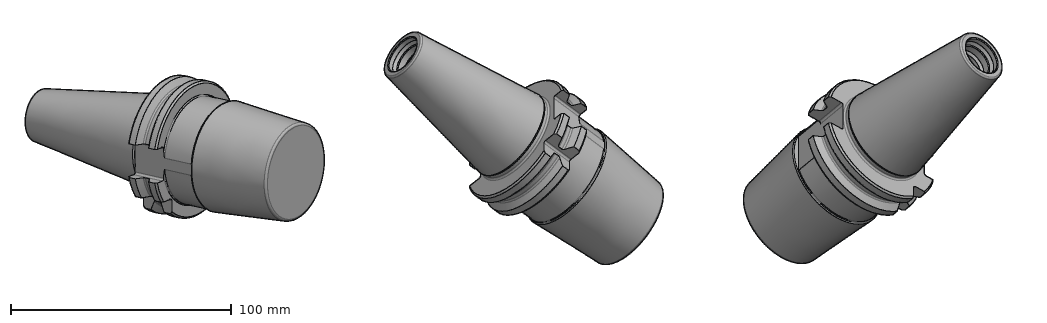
import cadquery as cq
import math


total_length = 143.2
taper_end = 67.9
flange_start = 71.3
flange_width = 16.0
flange_end = flange_start + flange_width
collar_start = 103.3

taper_ratio = 7 / 24
taper_large_radius = 22.2
taper_small_radius = taper_large_radius - taper_end * taper_ratio / 2
taper_tip_fillet = 0.9
neck_radius = 21.8
lip_length = 0.9
neck_fillet = 0.9

flange_diameter = 63.5
flange_radius = flange_diameter / 2
flange_chamfer = 0.9
groove_top_width = 7.5
groove_floor_radius = 28.0
groove_wall_angle = 30.0
groove_fillet = 1.0

body_radius = 25.0
body_fillet = 0.6
collar_fillet = 0.7
collar_radius = 25.8
nose_end_radius = 22.8
nose_edge_fillet = 1.1

slot_width = 16.0
shallow_slot_floor = 24.9
deep_slot_floor = 22.8
notch_side = 18.6
notch_ceiling = 18.3
corner_fillet = 1.0

mouth_radius = 9.6
recess_radius = 9.2
recess_depth = 2.7
seat_radius = 8.3
seat_depth = 4.5
thread_radius = 7.9
thread_depth = 8.2
core_radius = 6.7
core_depth = 31.5
drill_half_angle = 59.0


def revolve_about_x(profile):
    return profile.close().revolve(360, (0, 0, 0), (1, 0, 0))


def make_body():
    """Outer shape of the holder, without the groove, slots and bore."""
    diagonal = math.sqrt(0.5)
    half_turn = math.radians(45 / 2)
    fillet_start = collar_start - collar_fillet * diagonal
    fillet_rise = collar_fillet * (1 - diagonal)
    fillet_middle = (
        fillet_start + collar_fillet * math.sin(half_turn),
        body_radius + collar_fillet * (1 - math.cos(half_turn)),
    )
    collar_cone_length = collar_radius - body_radius - fillet_rise

    profile = (
        cq.Workplane("XY")
        .lineTo(0, taper_small_radius)
        .lineTo(taper_end, taper_large_radius)
        .lineTo(taper_end + lip_length, neck_radius)
        .lineTo(flange_start - neck_fillet, neck_radius)
        .radiusArc((flange_start, neck_radius + neck_fillet), -neck_fillet)
        .lineTo(flange_start, flange_radius - flange_chamfer)
        .lineTo(flange_start + flange_chamfer, flange_radius)
        .lineTo(flange_end - flange_chamfer, flange_radius)
        .lineTo(flange_end, flange_radius - flange_chamfer)
        .lineTo(flange_end, body_radius + body_fillet)
        .radiusArc((flange_end + body_fillet, body_radius), -body_fillet)
        .lineTo(fillet_start, body_radius)
        .threePointArc(fillet_middle, (collar_start, body_radius + fillet_rise))
        .lineTo(collar_start + collar_cone_length, collar_radius)
        .lineTo(total_length, nose_end_radius)
        .lineTo(total_length, 0)
    )
    body = revolve_about_x(profile)
    body = body.faces("<X").edges().fillet(taper_tip_fillet)
    return body.faces(">X").edges().fillet(nose_edge_fillet)


def make_groove():
    """V-groove around the flange, with rounded corners at its floor."""
    center = flange_start + flange_width / 2
    depth = flange_radius - groove_floor_radius
    half_top = groove_top_width / 2
    half_floor = half_top - depth * math.tan(math.radians(groove_wall_angle))
    section = (
        cq.Workplane("XY")
        .moveTo(center - half_top, flange_radius)
        .lineTo(center - half_floor, groove_floor_radius)
        .lineTo(center + half_floor, groove_floor_radius)
        .lineTo(center + half_top, flange_radius)
    )
    ring = revolve_about_x(section)
    inner_edges = cq.selectors.RadiusNthSelector(0)
    return ring.edges("%CIRCLE").edges(inner_edges).fillet(groove_fillet)


def make_slot(side, floor):
    """Drive slot through the flange on the +Y (side = 1) or -Y (side = -1) side."""
    height = flange_radius - floor
    return (
        cq.Workplane("XY")
        .box(flange_width, height, slot_width, centered=(False, True, True))
        .edges("|X")
        .edges("<Y" if side > 0 else ">Y")
        .fillet(corner_fillet)
        .translate((flange_start, side * (floor + height / 2), 0))
    )


def make_flat(side, floor):
    """Flat that carries a slot floor on across the body to the collar."""
    height = flange_radius - floor
    return (
        cq.Workplane("XY")
        .box(collar_start - flange_end, height, 2 * body_radius, centered=(False, True, True))
        .translate((flange_end, side * (floor + height / 2), 0))
    )


def make_notch():
    """Orientation notch in the flange at -Y, -Z."""
    return (
        cq.Workplane("XY")
        .box(flange_width, flange_radius, flange_radius, centered=False)
        .edges("|X and >Y and >Z")
        .fillet(corner_fillet)
        .translate((flange_start, -notch_side - flange_radius, -notch_ceiling - flange_radius))
    )


def make_bore():
    """Stepped bore ending in a drill point."""
    tip_depth = core_depth + core_radius / math.tan(math.radians(drill_half_angle))
    profile = (
        cq.Workplane("XY")
        .lineTo(0, mouth_radius)
        .lineTo(mouth_radius - recess_radius, recess_radius)
        .lineTo(recess_depth, recess_radius)
        .lineTo(seat_depth, seat_radius)
        .lineTo(seat_depth + seat_radius - thread_radius, thread_radius)
        .lineTo(thread_depth, thread_radius)
        .lineTo(thread_depth + thread_radius - core_radius, core_radius)
        .lineTo(core_depth, core_radius)
        .lineTo(tip_depth, 0)
    )
    return revolve_about_x(profile)


result = make_body().cut(make_groove())
for side, floor in ((-1, shallow_slot_floor), (1, deep_slot_floor)):
    result = result.cut(make_slot(side, floor)).cut(make_flat(side, floor))
result = result.cut(make_notch()).cut(make_bore())